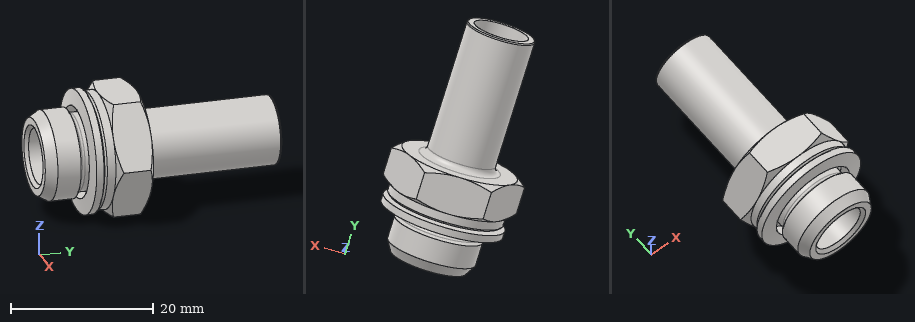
import cadquery as cq
import math

length = 35.0

bore_radius = 4.0
bore_mouth_radius = 4.5
bore_chamfer = 0.52

thread_radius = 6.5
nose_radius = 5.6
nose_chamfer_length = 1.58
thread_end = 5.0
runout_angle = math.radians(60)
undercut_radius = 5.65
undercut_fillet = 0.6

collar_radius = 8.5
collar_start = 7.95
collar_chamfer = 0.28

hex_across_flats = 2 * collar_radius
hex_across_corners = hex_across_flats / math.cos(math.radians(30))
hex_start = 9.5
hex_end = 15.0
hex_corner_chamfer = 0.77

tube_radius = 5.0
tube_fillet = 0.98
tube_end_chamfer_length = 0.2
tube_end_chamfer_depth = 0.1

washer_outer_radius = 9.0
washer_bore_radius = 6.6
washer_bore_thickness = 1.8
washer_rim_thickness = 1.1


def revolve_about_y(profile):
    """Turn a closed profile of (radius, Y) points about the Y axis."""
    return profile.close().revolve(360, (0, 0, 0), (0, 1, 0))


def make_turned_blank():
    """Solid of revolution for the threaded end, undercut, collar and tube."""
    fillet_rise = undercut_fillet * (1 - math.cos(runout_angle))
    fillet_run = undercut_fillet * math.sin(runout_angle)
    runout_radius = undercut_radius + fillet_rise
    runout_y = thread_end + (thread_radius - runout_radius) / math.tan(runout_angle)
    half_angle = runout_angle / 2
    fillet_middle = (
        undercut_radius + undercut_fillet * (1 - math.cos(half_angle)),
        runout_y + fillet_run - undercut_fillet * math.sin(half_angle),
    )
    tube_fillet_middle = (
        tube_radius + tube_fillet * (1 - math.sqrt(0.5)),
        hex_end + tube_fillet * (1 - math.sqrt(0.5)),
    )
    profile = (
        cq.Workplane("XY")
        .lineTo(nose_radius, 0)
        .lineTo(thread_radius, nose_chamfer_length)
        .lineTo(thread_radius, thread_end)
        .lineTo(runout_radius, runout_y)
        .threePointArc(fillet_middle, (undercut_radius, runout_y + fillet_run))
        .lineTo(undercut_radius, collar_start)
        .lineTo(collar_radius - collar_chamfer, collar_start)
        .lineTo(collar_radius, collar_start + collar_chamfer)
        .lineTo(collar_radius, hex_end)
        .lineTo(tube_radius + tube_fillet, hex_end)
        .threePointArc(tube_fillet_middle, (tube_radius, hex_end + tube_fillet))
        .lineTo(tube_radius, length - tube_end_chamfer_length)
        .lineTo(tube_radius - tube_end_chamfer_depth, length)
        .lineTo(0, length)
    )
    return revolve_about_y(profile)


def make_hexagon():
    """Hexagonal prism with corners along X, chamfered conically at both ends."""
    prism = (
        cq.Workplane("XZ", origin=(0, hex_start, 0))
        .polygon(6, hex_across_corners)
        .extrude(hex_start - hex_end)
    )
    flat_radius = hex_across_flats / 2
    corner_radius = hex_across_corners / 2
    envelope = revolve_about_y(
        cq.Workplane("XY")
        .moveTo(0, hex_start)
        .lineTo(flat_radius, hex_start)
        .lineTo(corner_radius, hex_start + hex_corner_chamfer)
        .lineTo(corner_radius, hex_end - hex_corner_chamfer)
        .lineTo(flat_radius, hex_end)
        .lineTo(0, hex_end)
    )
    return prism.intersect(envelope)


def make_bore():
    """Cutting tool for the through bore and its chamfered mouth."""
    return revolve_about_y(
        cq.Workplane("XY")
        .lineTo(bore_mouth_radius, 0)
        .lineTo(bore_radius, bore_chamfer)
        .lineTo(bore_radius, length)
        .lineTo(0, length)
    )


def make_fitting():
    return make_turned_blank().union(make_hexagon()).cut(make_bore())


def make_washer():
    """Ring with two conical faces, its bore edge touching the collar face."""
    bore_back = collar_start
    bore_front = bore_back - washer_bore_thickness
    taper = (washer_bore_thickness - washer_rim_thickness) / 2
    return revolve_about_y(
        cq.Workplane("XY")
        .moveTo(washer_bore_radius, bore_front)
        .lineTo(washer_outer_radius, bore_front + taper)
        .lineTo(washer_outer_radius, bore_back - taper)
        .lineTo(washer_bore_radius, bore_back)
    )


fitting = make_fitting()
washer = make_washer()

result = cq.Compound.makeCompound([fitting.val(), washer.val()])